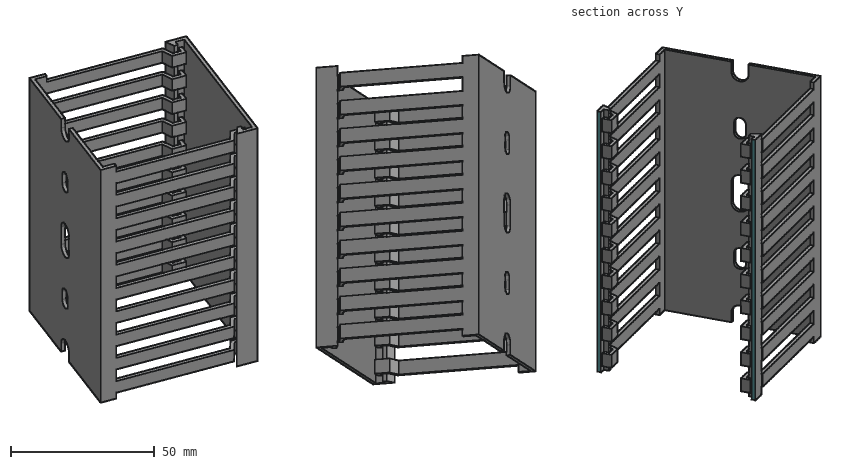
import cadquery as cq
import math

WIDTH = 60.0
DEPTH = 60.0
LENGTH = 100.0
WALL = 1.5

PITCH = 10.0
FINGER_HEIGHT = PITCH / 2
GAP_HEIGHT = PITCH - FINGER_HEIGHT
FINGER_ROOT = 6.0

JOG = 4.0
RAMP_SLOPE = 0.5
RAMP_START = 9.0
RAMP_OFFSET = WALL * math.hypot(1, RAMP_SLOPE) - WALL * RAMP_SLOPE
FINGER_TIP_TOP = 2.5
FINGER_LIP_START = 2.0
COVER_LEG = 8.0
HOOK_TOP = 4.8
HOOK_REACH = 3.5

LARGE_WIDTH = 6.5
LARGE_LENGTH = 14.0
SMALL_WIDTH = 4.5
SMALL_LENGTH = 8.0
SLOT_SPACING = LENGTH / 2
LARGE_COUNT = 3
SMALL_COUNT = 2

LEFT = -WIDTH / 2
FRONT = -DEPTH / 2
BACK = DEPTH / 2


def mirrored_profile(left_half):
    """Extrude the outline whose left half runs from centreline to centreline."""
    right_half = [(-x, y) for x, y in reversed(left_half) if x != 0]
    return (
        cq.Workplane("XY")
        .workplane(offset=-LENGTH / 2)
        .polyline(left_half + right_half)
        .close()
        .extrude(LENGTH)
    )


def left_point(inward, below_cover):
    """Point given by its distances from the left side and the cover's outer face."""
    return (LEFT + inward, BACK - below_cover)


def channel_blank():
    """Channel with unbroken sides that step inward and end in an outward lip."""
    lip_underside = FINGER_TIP_TOP + WALL
    outer_ramp_end = RAMP_START - JOG * RAMP_SLOPE
    return mirrored_profile([
        (0, FRONT),
        (LEFT, FRONT),
        left_point(0, RAMP_START),
        left_point(JOG, outer_ramp_end),
        left_point(JOG, lip_underside),
        left_point(FINGER_LIP_START, lip_underside),
        left_point(FINGER_LIP_START, FINGER_TIP_TOP),
        left_point(JOG + WALL, FINGER_TIP_TOP),
        left_point(JOG + WALL, outer_ramp_end + RAMP_OFFSET),
        left_point(WALL, RAMP_START + RAMP_OFFSET),
        (LEFT + WALL, FRONT + WALL),
        (0, FRONT + WALL),
    ])


def finger_gaps():
    """Gaps through both sides; the outermost two run half out of the ends."""
    gap_count = round(LENGTH / PITCH) + 1
    return (
        cq.Workplane("XZ", origin=(0, FRONT + FINGER_ROOT, 0))
        .rarray(WIDTH, PITCH, 1, gap_count)
        .rect(WIDTH, GAP_HEIGHT)
        .extrude(FINGER_ROOT - DEPTH)
    )


def mounting_slots(count, length, width):
    """Upright round-ended slots through the mounting wall, in a row centred on its middle."""
    return (
        cq.Workplane("XZ", origin=(0, FRONT + WALL, 0))
        .rarray(WIDTH, SLOT_SPACING, 1, count)
        .slot2D(length, width, angle=90)
        .extrude(WALL)
    )


def build_channel():
    large_slots = mounting_slots(LARGE_COUNT, LARGE_LENGTH, LARGE_WIDTH)
    small_slots = mounting_slots(SMALL_COUNT, SMALL_LENGTH, SMALL_WIDTH)
    return channel_blank().cut(finger_gaps()).cut(large_slots).cut(small_slots)


def build_cover():
    """Flat cover whose two legs end in hooks that catch behind the finger tips."""
    return mirrored_profile([
        (0, BACK),
        (LEFT, BACK),
        left_point(0, COVER_LEG),
        left_point(HOOK_REACH, COVER_LEG - HOOK_REACH * RAMP_SLOPE),
        left_point(HOOK_REACH, HOOK_TOP),
        left_point(WALL, HOOK_TOP),
        left_point(WALL, WALL),
        (0, BACK - WALL),
    ])


channel = build_channel()
cover = build_cover()

result = cq.Compound.makeCompound([channel.val(), cover.val()])